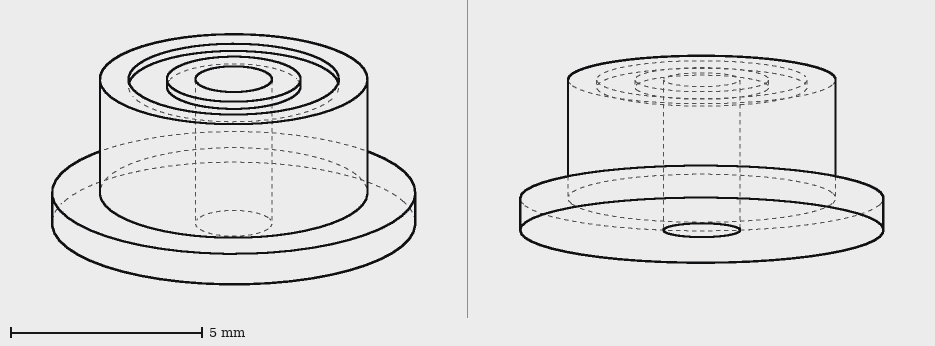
import cadquery as cq

total_height = 4.0
flange_diameter = 9.5
flange_thickness = 0.85
body_diameter = 7.0
bore_diameter = 2.0

race_wall = 0.75
recess_inner_diameter = bore_diameter + 2 * race_wall
recess_outer_diameter = body_diameter - 2 * race_wall
recess_depth = 0.2


def disc(diameter, bottom, height):
    """Solid cylinder on the Z axis, starting at the given height."""
    return cq.Workplane("XY").workplane(offset=bottom).circle(diameter / 2).extrude(height)


def flanged_body():
    """Outer cylinder standing on its wider flange."""
    flange = disc(flange_diameter, 0, flange_thickness)
    return flange.union(disc(body_diameter, 0, total_height))


def shield_recess():
    """Shallow ring removed from the top face between the two races."""
    floor = total_height - recess_depth
    outer = disc(recess_outer_diameter, floor, recess_depth)
    return outer.cut(disc(recess_inner_diameter, floor, recess_depth))


bore = disc(bore_diameter, 0, total_height)

result = flanged_body().cut(shield_recess()).cut(bore)